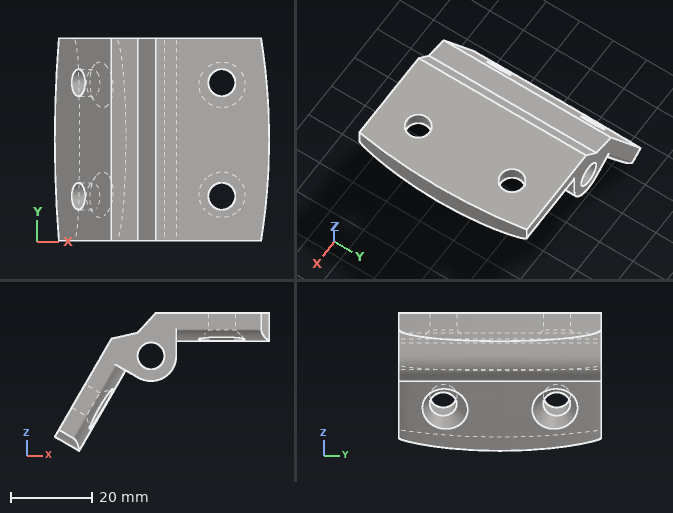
import cadquery as cq
import math

overall_length = 52.95
width = 50.0
leaf_angle = 120.0
leaf_top = 10.6
edge_thickness = 4.0
middle_thickness = 7.0
tip_sag = 2.0

barrel_radius = 6.25
pin_hole_diameter = 6.55
ridge_start = 1.15
notch_distance = 6.6

screw_hole_diameter = 6.6
screw_hole_x = 17.5
screw_hole_pitch = 28.0
sink_diameter = 12.4
sink_angle = 90.0

half_width = width / 2
lean = math.radians(180 - leaf_angle)
leaf_reach = (overall_length - leaf_top * math.sin(lean)) / (1 + math.cos(lean))
leaf_side_bottom = leaf_top - edge_thickness
leaf_crown = leaf_top - middle_thickness
bisector = math.radians(180 - leaf_angle / 2)


def bar_along_y(profile):
    """Extrude an XZ profile over the full width, centred on Y = 0."""
    return profile.extrude(half_width, both=True)


def make_body():
    """Leaf side outline joined to half of the hub, cut off at the symmetry plane."""
    notch = (notch_distance * math.cos(bisector), notch_distance * math.sin(bisector))
    profile = cq.Workplane("XZ").polyline([
        (0, 0),
        notch,
        (ridge_start, leaf_top),
        (leaf_reach, leaf_top),
        (leaf_reach, leaf_side_bottom),
        (barrel_radius, leaf_side_bottom),
        (barrel_radius, 0),
    ]).close()
    return bar_along_y(profile)


def make_crown():
    """Half-elliptical thickening under the leaf."""
    lower_half = cq.Workplane("XY").box(
        leaf_reach, width, leaf_side_bottom, centered=(False, True, False)
    )
    return (
        cq.Workplane("YZ")
        .center(0, leaf_side_bottom)
        .ellipse(half_width, leaf_side_bottom - leaf_crown)
        .extrude(leaf_reach)
        .intersect(lower_half)
    )


def make_tip_outline():
    """Plan outline that rounds the leaf tip."""
    side_x = leaf_reach - tip_sag
    return (
        cq.Workplane("XY")
        .moveTo(-leaf_reach, -half_width)
        .lineTo(side_x, -half_width)
        .threePointArc((leaf_reach, 0), (side_x, half_width))
        .lineTo(-leaf_reach, half_width)
        .close()
        .extrude(leaf_top)
    )


def make_screw_cutters():
    """Through holes with countersinks opening on the underside."""
    sink_radius = sink_diameter / 2
    sink_depth = sink_radius / math.tan(math.radians(sink_angle / 2))
    cone = cq.Solid.makeCone(sink_radius, 0, sink_depth)
    drill = cq.Solid.makeCylinder(screw_hole_diameter / 2, leaf_top)
    cutter = cq.Workplane(drill).union(cq.Workplane(cone))
    cutters = cq.Workplane("XY")
    for y in (-screw_hole_pitch / 2, screw_hole_pitch / 2):
        cutters = cutters.union(cutter.translate((screw_hole_x, y, leaf_crown)))
    return cutters


leaf = make_body().union(make_crown()).intersect(make_tip_outline()).cut(make_screw_cutters())
other_leaf = leaf.mirror("YZ").rotate((0, 0, 0), (0, 1, 0), leaf_angle - 180)

barrel = bar_along_y(cq.Workplane("XZ").circle(barrel_radius))
pin_hole = bar_along_y(cq.Workplane("XZ").circle(pin_hole_diameter / 2))

result = leaf.union(other_leaf).union(barrel).cut(pin_hole)